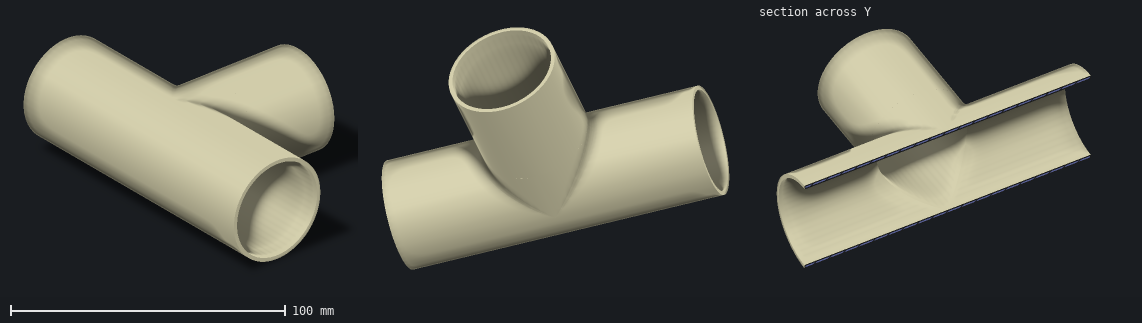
import cadquery as cq

run_length = 120.0
outer_diameter = 41.0
bore_diameter = 38.0
branch_reach = 60.0
blend_radius = 2.4

outer_radius = outer_diameter / 2
bore_radius = bore_diameter / 2
trim_radius = outer_diameter
joint_offset = outer_radius + blend_radius


def run_cylinder(radius):
    """Cylinder of the full run length, centred on the origin along X."""
    return cq.Workplane("YZ").circle(radius).extrude(run_length / 2, both=True)


def branch_cylinder(radius, start, end):
    """Cylinder along +Y between two distances from the run axis."""
    return cq.Workplane("XZ", origin=(0, start, 0)).circle(radius).extrude(start - end)


def make_tee():
    """Run pipe with a short branch stub, blended along the mitre curves where they meet."""
    outside = run_cylinder(outer_radius).union(branch_cylinder(outer_radius, 0, branch_reach))
    outside = outside.edges("%ELLIPSE").fillet(blend_radius)
    outside = outside.cut(branch_cylinder(trim_radius, joint_offset, branch_reach))
    return outside.cut(run_cylinder(bore_radius)).cut(branch_cylinder(bore_radius, 0, joint_offset))


def make_branch_pipe():
    """Plain pipe that continues the stub to the open end."""
    outside = branch_cylinder(outer_radius, joint_offset, branch_reach)
    return outside.cut(branch_cylinder(bore_radius, joint_offset, branch_reach))


tee = make_tee()
branch_pipe = make_branch_pipe()
result = cq.Compound.makeCompound([*tee.solids().vals(), *branch_pipe.solids().vals()])